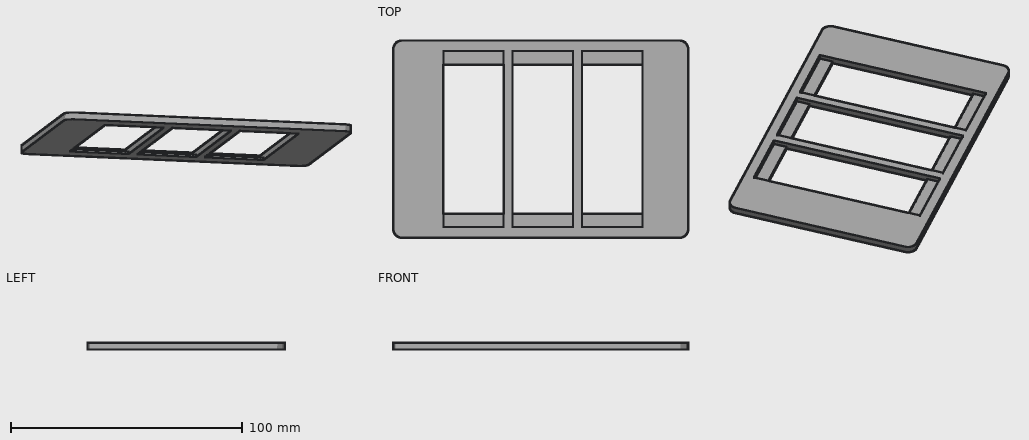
import cadquery as cq

plate_length = 127.6
plate_width = 85.4
plate_thickness = 3.0
corner_radius = 4.0

window_count = 3
window_width = 26.0
window_pitch = 30.0
window_length = 76.0
row_center_x = 0.9

ledge_depth = 5.9
ledge_thickness = 1.0
opening_length = window_length - 2 * ledge_depth


def make_plate():
    """Flat plate with rounded corners, resting on Z = 0."""
    plate = cq.Workplane("XY").box(
        plate_length, plate_width, plate_thickness, centered=(True, True, False)
    )
    return plate.edges("|Z").fillet(corner_radius)


def make_window_cutter(center_x):
    """Through opening with a longer recess above the ledges."""
    opening = (
        cq.Workplane("XY")
        .center(center_x, 0)
        .rect(window_width, opening_length)
        .extrude(plate_thickness)
    )
    recess = (
        cq.Workplane("XY", origin=(center_x, 0, ledge_thickness))
        .rect(window_width, window_length)
        .extrude(plate_thickness - ledge_thickness)
    )
    return opening.union(recess)


result = make_plate()
for index in range(window_count):
    offset = (index - (window_count - 1) / 2) * window_pitch
    result = result.cut(make_window_cutter(row_center_x + offset))